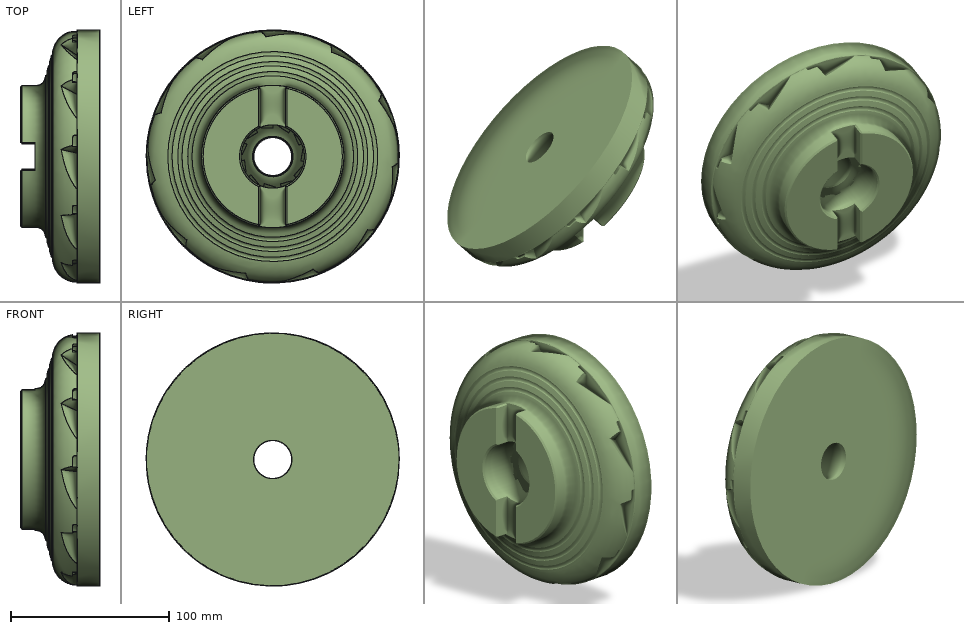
import cadquery as cq
import math


total_length = 50.05
rim_radius = 80.01
rim_start = 35.5
rim_edge_radius = 0.5

shoulder_radius = 15.4
shoulder_center_x = rim_start
shoulder_center_r = 64.0

hub_radius = 45.0
hub_fillet = 5.0
hub_chamfer = 1.0

web_slope = 0.285

groove_radii = (52.4, 58.7, 65.0)
groove_width = 2.7
groove_depth = 0.6

slot_width = 16.0
slot_depth = 9.0

bore_radius = 20.0
bore_depth = 24.0
hole_radius = 12.0
hole_chamfer = 0.8

vent_count = 11
vent_pitch = 360.0 / vent_count

rim_vent_start_angle = -4.9
apex_x = 25.6
vent_lean = -0.65
vent_ramp = 0.26
vent_length = 34.0
wall_lean = -0.126
wall_tilt = -0.47
notch_width = 2.6
notch_length = 7.0
notch_offset = 2.0
notch_floor_radius = 77.0

bore_vent_start_angle = -9.0
bore_vent_length = 7.3
bore_vent_inner = 18.0
bore_vent_depth = 2.0

cut_margin = 10.0


def shoulder_r(x):
    """Radius of the rounded shoulder at a given X."""
    offset = x - shoulder_center_x
    return shoulder_center_r + math.sqrt(shoulder_radius**2 - offset**2)


web_angle = math.atan(web_slope)
web_end_x = shoulder_center_x - shoulder_radius * math.cos(web_angle)
web_end_r = shoulder_center_r + shoulder_radius * math.sin(web_angle)


def web_x(radius):
    """X of the conical web at a given radius."""
    return web_end_x - web_slope * (web_end_r - radius)


def revolve_x(profile):
    """Revolve a profile drawn in the XY plane about the X axis."""
    return profile.revolve(360, (0, 0, 0), (1, 0, 0))


def make_body():
    """Solid of revolution: hub, web, rounded shoulder and rim."""
    shoulder_top = (shoulder_center_x, shoulder_center_r + shoulder_radius)
    mid_angle = (math.pi / 2 + web_angle) / 2
    shoulder_mid = (
        shoulder_center_x - shoulder_radius * math.cos(mid_angle),
        shoulder_center_r + shoulder_radius * math.sin(mid_angle),
    )
    fillet_center_r = hub_radius + hub_fillet
    fillet_center_x = web_x(fillet_center_r) - hub_fillet / math.cos(web_angle)
    fillet_end = (
        fillet_center_x + hub_fillet * math.cos(web_angle),
        fillet_center_r - hub_fillet * math.sin(web_angle),
    )
    fillet_mid = (
        fillet_center_x + hub_fillet * math.cos(mid_angle),
        fillet_center_r - hub_fillet * math.sin(mid_angle),
    )
    corner = rim_edge_radius * (1 - math.sqrt(0.5))
    profile = (
        cq.Workplane("XY")
        .moveTo(0, 0)
        .lineTo(0, hub_radius)
        .lineTo(fillet_center_x, hub_radius)
        .threePointArc(fillet_mid, fillet_end)
        .lineTo(web_end_x, web_end_r)
        .threePointArc(shoulder_mid, shoulder_top)
        .lineTo(rim_start, rim_radius - rim_edge_radius)
        .threePointArc(
            (rim_start + corner, rim_radius - corner),
            (rim_start + rim_edge_radius, rim_radius),
        )
        .lineTo(total_length, rim_radius)
        .lineTo(total_length, 0)
        .close()
    )
    return revolve_x(profile)


def groove_cutter(radius):
    inner_r = radius - groove_width / 2
    outer_r = radius + groove_width / 2
    inner = (web_x(inner_r), inner_r)
    outer = (web_x(outer_r), outer_r)
    deepest = (web_x(radius) + groove_depth, radius)
    return revolve_x(cq.Workplane("XY").moveTo(*inner).threePointArc(deepest, outer).close())


def cut_slot(body):
    slot = cq.Workplane("XY").box(2 * slot_depth, slot_width, 2 * rim_radius)
    return body.cut(slot)


def cut_bore(body):
    hole_mouth_radius = hole_radius + hole_chamfer
    profile = (
        cq.Workplane("XY")
        .moveTo(0, 0)
        .lineTo(0, bore_radius)
        .lineTo(bore_depth, bore_radius)
        .lineTo(bore_depth, hole_mouth_radius)
        .lineTo(bore_depth + hole_chamfer, hole_radius)
        .lineTo(total_length, hole_radius)
        .lineTo(total_length, 0)
        .close()
    )
    return body.cut(revolve_x(profile))


def around_axis(cutter, start_angle, index):
    """Turn a cutter built at +Z to its place; angles run from -Y towards +Z."""
    turn = 90.0 - start_angle - index * vent_pitch
    return cutter.rotate((0, 0, 0), (1, 0, 0), turn)


def chamfer_lugs(body):
    """Chamfer the lug faces all round and the lug corners at the slot ends."""
    corners = [e for e in body.edges("|X").vals() if abs(e.Center().z) > bore_radius]
    face_edges = body.faces("<X").edges().vals()
    return body.newObject(corners + face_edges).chamfer(hub_chamfer)


def rim_vent_cutter():
    """Cutter at +Z: a sloping pocket running towards -Y and a notch behind its end wall."""
    apex_r = shoulder_r(apex_x)

    def floor_height(x, along):
        return apex_r + vent_lean * (x - apex_x) + vent_ramp * along

    top = rim_radius + 2 * cut_margin
    start_x = apex_x - cut_margin

    def wall_place(x, z):
        return wall_lean * (x - apex_x) + wall_tilt * (z - apex_r)

    start_corners = [
        (start_x, floor_height(start_x, 0)),
        (rim_start, floor_height(rim_start, 0)),
        (rim_start, top),
        (start_x, top),
    ]
    near = [cq.Vector(x, -wall_place(x, z), z) for x, z in start_corners]
    rise = vent_ramp * vent_length
    far = [cq.Vector(p.x, p.y - vent_length, p.z + rise) for p in near]
    sections = [cq.Wire.makePolygon(points, close=True) for points in (near, far)]

    pocket = cq.Workplane(cq.Solid.makeLoft(sections, True))
    notch = (
        cq.Workplane("XY")
        .box(notch_width, notch_length, cut_margin, centered=(False, False, False))
        .edges("|Z and >Y and <X")
        .fillet(notch_width / 2)
        .translate((rim_start - notch_width, notch_offset, notch_floor_radius))
    )
    return pocket.union(notch)


def bore_vent_cutter():
    """Cutter at +Z: a block sunk in the bore floor, trimmed to the bore wall."""
    block = (
        cq.Workplane("XY")
        .box(bore_vent_depth, bore_vent_length, bore_radius, centered=(False, False, False))
        .translate((bore_depth, 0, bore_vent_inner))
    )
    bore = cq.Workplane("YZ").circle(bore_radius).extrude(total_length)
    return block.intersect(bore)


body = make_body()
for groove_radius in groove_radii:
    body = body.cut(groove_cutter(groove_radius))
body = cut_slot(body)
body = cut_bore(body)
body = chamfer_lugs(body)

rim_vent = rim_vent_cutter()
bore_vent = bore_vent_cutter()
for i in range(vent_count):
    body = body.cut(around_axis(rim_vent, rim_vent_start_angle, i))
    body = body.cut(around_axis(bore_vent, bore_vent_start_angle, i))

result = body